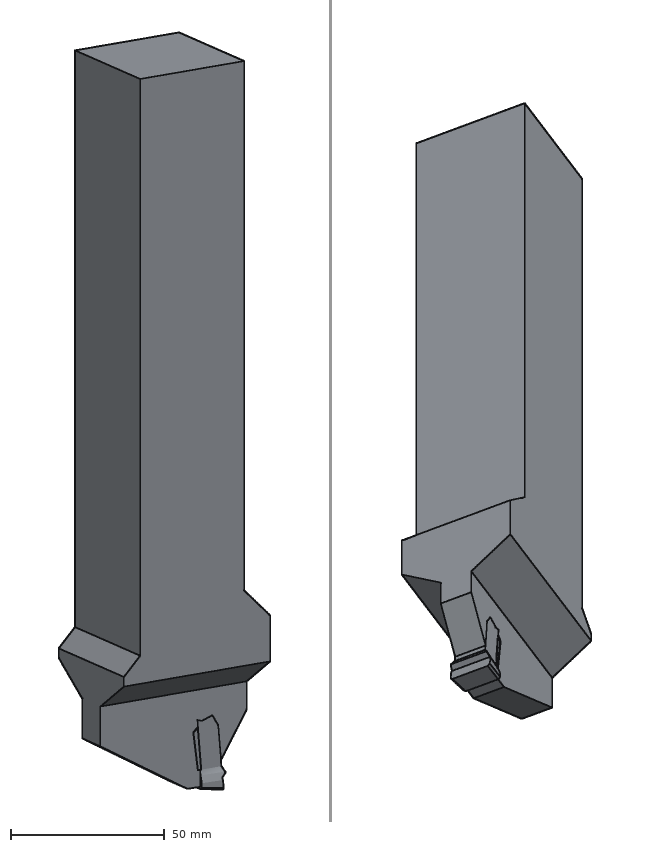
import cadquery as cq

total_height = 250.0
shank_size = 40.0
shank_half = shank_size / 2
back_step = 10.0
front_step = 6.2
back_y = shank_half + back_step
front_y = -shank_half - front_step
back_shoulder_z = 60.8
front_shoulder_z = 48.5

blade_width = 11.2
blade_half = blade_width / 2
flare_top_z = 45.2
flare_bottom_z = 35.0
back_corner_z = 25.5
front_corner_z = 21.5
blade_tip_y = 7.2
blade_bottom_z = 2.0
blade_seat_y = 18.8

rake_y = 20.2
head_back_y = 12.0
head_top_z = 7.8
head_shoulder_z = 6.0
flank_knee_z = 3.5
flank_lean = 0.8
cutting_half = 7.2
relieved_half = 6.8
corner_cut = 0.8
clearance_rise = 1.2
lip_y = 21.2
lip_z = 5.8
groove_y = 19.8
groove_z = 4.2
stem_root_z = 5.0
stem_front_y = 12.8
stem_root_y = 20.0
stem_shoulder_y = 19.0
stem_shoulder_z = 21.8
stem_peak_y = 16.8
stem_peak_z = 25.5
stem_notch_z = 24.2
stem_horn_y = 11.0
stem_horn_z = 24.8
ledge_root_y = 11.2
ledge_corner_y = 9.5
ledge_corner_z = 20.8
ledge_top_z = 22.0
ledge_recess = 0.2


def side_prism(points, half_width):
    """Closed Y-Z outline extruded to half_width on both sides of X = 0."""
    return cq.Workplane("YZ").polyline(points).close().extrude(half_width, both=True)


def head_section(y, half_width, bottom_z):
    """Cross-section of the cutting head at a given Y."""
    right_side = [
        (half_width - corner_cut, bottom_z),
        (half_width, bottom_z + corner_cut),
        (half_width, flank_knee_z),
        (half_width - flank_lean, head_shoulder_z),
        (blade_half, head_top_z),
    ]
    left_side = [(-x, z) for x, z in reversed(right_side)]
    corners = [cq.Vector(x, y, z) for x, z in right_side + left_side]
    return cq.Wire.makePolygon(corners, close=True)


def make_cutting_head():
    """Tapered head with flank relief, bottom clearance and a chip groove."""
    taper = (lip_y - head_back_y) / (rake_y - head_back_y)
    lip_half = relieved_half + (cutting_half - relieved_half) * taper
    lip_bottom_z = clearance_rise * (1 - taper)
    block = cq.Solid.makeLoft(
        [
            head_section(head_back_y, relieved_half, clearance_rise),
            head_section(lip_y, lip_half, lip_bottom_z),
        ],
        True,
    )
    rake_profile = side_prism(
        [
            (head_back_y, clearance_rise),
            (rake_y, 0),
            (groove_y, groove_z),
            (lip_y, lip_z),
            (rake_y, head_top_z),
            (head_back_y, head_top_z),
        ],
        lip_half,
    )
    return rake_profile.intersect(cq.Workplane(block))


def make_stem():
    """Upright stem of the insert, flush with the sides of the blade."""
    return side_prism(
        [
            (stem_front_y, stem_root_z),
            (stem_root_y, stem_root_z),
            (rake_y, head_top_z),
            (stem_shoulder_y, stem_shoulder_z),
            (stem_peak_y, stem_peak_z),
            (stem_front_y, stem_notch_z),
            (stem_horn_y, stem_horn_z),
        ],
        blade_half,
    )


def make_ledge(half_width):
    """Strip along the -Y edge of the stem."""
    return side_prism(
        [
            (stem_front_y, head_top_z),
            (ledge_root_y, head_top_z),
            (ledge_corner_y, ledge_corner_z),
            (stem_horn_y, ledge_top_z),
            (stem_front_y, ledge_top_z),
        ],
        half_width,
    )


def make_insert(ledge_half):
    """Complete insert for a given half width of its ledge."""
    return make_cutting_head().union(make_stem()).union(make_ledge(ledge_half))


def make_holder():
    """Square shank with a stepped head that narrows to the seated blade."""
    side_shape = side_prism(
        [
            (-shank_half, total_height),
            (shank_half, total_height),
            (shank_half, back_shoulder_z + back_step),
            (back_y, back_shoulder_z),
            (back_y, back_corner_z),
            (blade_seat_y, head_top_z),
            (head_back_y, blade_bottom_z),
            (blade_tip_y, blade_bottom_z),
            (front_y, front_corner_z),
            (front_y, front_shoulder_z),
            (-shank_half, front_shoulder_z + front_step),
        ],
        shank_half,
    )
    front_shape = (
        cq.Workplane("XZ", origin=(0, back_y, 0))
        .polyline(
            [
                (-shank_half, total_height),
                (shank_half, total_height),
                (shank_half, flare_top_z),
                (blade_half, flare_bottom_z),
                (blade_half, 0),
                (-blade_half, 0),
                (-blade_half, flare_bottom_z),
                (-shank_half, flare_top_z),
            ]
        )
        .close()
        .extrude(back_y - front_y)
    )
    seat = make_insert(blade_half)
    return side_shape.intersect(front_shape).cut(seat)


holder = make_holder()
insert = make_insert(blade_half - ledge_recess)

result = cq.Compound.makeCompound([*holder.solids().vals(), *insert.solids().vals()])